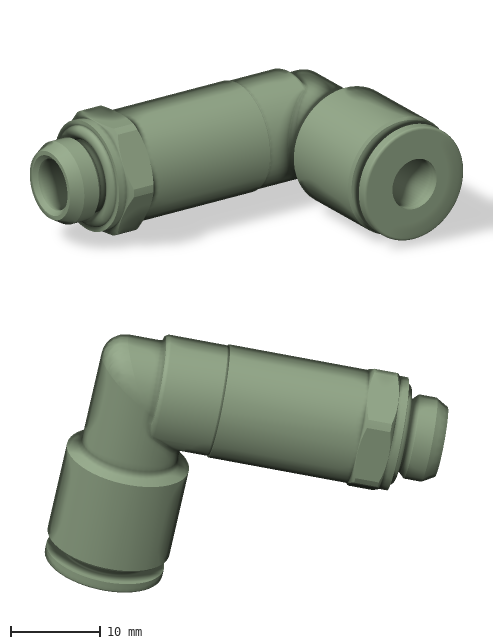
import cadquery as cq
import math


elbow_radius = 5.5
corner_radius = 2.5
corner_sections = 9

arm_radius = 7.0
arm_shoulder_end = 8.95
shoulder_slope = math.radians(60)
shoulder_fillet = 0.5
arm_end = 20.0
arm_chamfer = 0.3
seat_radius = 5.4
seat_end = 20.2
release_neck_radius = 4.7
neck_fillet = 0.2
flange_start = 21.5
flange_end = 22.7
flange_radius = 6.75
flange_fillet = 0.3

collar_radius = 6.3
collar_top = 1.29
collar_crown_width = 0.25
collar_crown_height = 0.55
collar_fillet = 0.52
collar_groove_start = 8.25
collar_end = 8.5
groove_radius = 6.15
tube_radius = 6.45
tube_end = 29.0
hex_across_flats = 13.0
hex_corner_radius = 7.25
hex_start = 24.4
hex_end = 28.0
hex_chamfer_angle = math.radians(30)

seal_radius = 5.9
seal_end = 29.63
neck_radius = 4.2
neck_end = 30.0
spigot_radius = 4.8
spigot_start = 30.6
spigot_chamfer_start = 32.6
spigot_tip_radius = 4.0
stem_end = 34.0

bore_radius = 3.0
bore_chamfer = 0.5

smallest_face_area = 0.001
tolerance = 0.01


def stem_point(radius, distance):
    """Point of a stem profile: radius from the Y axis, distance from the arm axis."""
    return (radius, -distance)


def revolve_about_y(profile):
    return profile.close().revolve(360, (0, 0, 0), (0, 1, 0))


def revolve_about_x(profile):
    return profile.close().revolve(360, (0, 0, 0), (1, 0, 0))


def mitred_pipe(radius, arm_length, stem_length):
    """Two equal cylinders along +X and -Y that meet in a sharp 45 degree mitre."""
    arm = cq.Workplane("YZ", origin=(-radius, 0, 0)).circle(radius).extrude(radius + arm_length)
    stem = cq.Workplane("XZ", origin=(0, radius, 0)).circle(radius).extrude(radius + stem_length)
    reach = 2 * (radius + max(arm_length, stem_length))
    arm_side = (
        cq.Workplane("XY", origin=(0, 0, -radius))
        .polyline([(-reach, reach), (reach, reach), (reach, -reach)])
        .close()
        .extrude(2 * radius)
    )
    return arm.intersect(arm_side).union(stem.cut(arm_side))


def corner_reach(angle):
    """Distance from the Z axis to the rounded corner outline, at an angle from the Y axis."""
    offset = elbow_radius - corner_radius
    centre_distance = offset * math.sqrt(2)
    swing = angle - math.pi / 4
    return centre_distance * math.cos(swing) + math.sqrt(
        corner_radius**2 - (centre_distance * math.sin(swing)) ** 2
    )


def rounded_corner():
    """Outer wedge of the elbow, lofted through half ellipses that share the Z axis."""
    first = math.atan2(elbow_radius - corner_radius, elbow_radius)
    step = (math.pi / 2 - 2 * first) / (corner_sections - 1)
    wires = []
    for index in range(corner_sections):
        angle = first + index * step
        plane = cq.Plane(
            origin=(0, 0, 0),
            xDir=(-math.sin(angle), math.cos(angle), 0),
            normal=(math.cos(angle), math.sin(angle), 0),
        )
        section = (
            cq.Workplane(plane)
            .moveTo(0, -elbow_radius)
            .ellipseArc(corner_reach(angle), elbow_radius, -90, 90, startAtCurrent=True)
            .close()
        )
        wires.append(section.wires().val())
    loft = cq.Solid.makeLoft(wires)
    faces = [face for face in loft.Faces() if face.Area() > smallest_face_area]
    return cq.Workplane(cq.Solid.makeSolid(cq.Shell.makeShell(faces)))


def elbow():
    """Mitred elbow with its sharp outer corner replaced by the rounded wedge."""
    pipe = mitred_pipe(elbow_radius, arm_shoulder_end, collar_end)
    corner_start = elbow_radius - corner_radius
    sharp_corner = (
        cq.Workplane("XY", origin=(0, 0, -2 * elbow_radius))
        .polyline(
            [
                (0, 0),
                (-elbow_radius, corner_start),
                (-elbow_radius, elbow_radius),
                (-corner_start, elbow_radius),
            ]
        )
        .close()
        .extrude(4 * elbow_radius)
    )
    return pipe.cut(sharp_corner).union(rounded_corner())


def push_in_arm():
    """Sloped shoulder, round housing, seat ring and flanged release sleeve along +X."""
    run = (arm_radius - elbow_radius) / math.tan(shoulder_slope)
    foot = arm_shoulder_end - run
    tangent = shoulder_fillet * math.tan(shoulder_slope / 2)
    fillet_end = (
        foot + tangent * math.cos(shoulder_slope),
        elbow_radius + tangent * math.sin(shoulder_slope),
    )
    fillet_middle = (
        foot - tangent + shoulder_fillet * math.sin(shoulder_slope / 2),
        elbow_radius + shoulder_fillet * (1 - math.cos(shoulder_slope / 2)),
    )
    profile = (
        cq.Workplane("XY")
        .moveTo(foot - tangent, 0)
        .lineTo(foot - tangent, elbow_radius)
        .threePointArc(fillet_middle, fillet_end)
        .lineTo(arm_shoulder_end, arm_radius)
        .lineTo(arm_end - arm_chamfer, arm_radius)
        .lineTo(arm_end, arm_radius - arm_chamfer)
        .lineTo(arm_end, seat_radius)
        .lineTo(seat_end, seat_radius)
        .lineTo(seat_end, release_neck_radius)
        .lineTo(flange_start - neck_fillet, release_neck_radius)
        .radiusArc((flange_start, release_neck_radius + neck_fillet), -neck_fillet)
        .lineTo(flange_start, flange_radius)
        .lineTo(flange_end - flange_fillet, flange_radius)
        .radiusArc((flange_end, flange_radius - flange_fillet), flange_fillet)
        .lineTo(flange_end, 0)
    )
    return revolve_about_x(profile)


def stem():
    """Collar, tube and plain spigot, turned about the Y axis."""
    crown_radius = (collar_crown_width**2 + collar_crown_height**2) / (2 * collar_crown_width)
    profile = (
        cq.Workplane("XY")
        .moveTo(*stem_point(0, collar_top))
        .lineTo(*stem_point(collar_radius - collar_crown_width, collar_top))
        .radiusArc(stem_point(collar_radius, collar_top + collar_crown_height), crown_radius)
        .lineTo(*stem_point(collar_radius, collar_groove_start))
        .lineTo(*stem_point(groove_radius, collar_end))
        .lineTo(*stem_point(tube_radius, collar_end))
        .lineTo(*stem_point(tube_radius, tube_end))
        .lineTo(*stem_point(neck_radius, tube_end))
        .lineTo(*stem_point(neck_radius, neck_end))
        .lineTo(*stem_point(spigot_radius, spigot_start))
        .lineTo(*stem_point(spigot_radius, spigot_chamfer_start))
        .lineTo(*stem_point(spigot_tip_radius, stem_end))
        .lineTo(*stem_point(0, stem_end))
    )
    return revolve_about_y(profile)


def is_collar_junction(edge):
    """True for an edge where the collar meets the outside of the elbow pipe."""
    middle = edge.positionAt(0.5)
    from_arm_axis = math.hypot(middle.y, middle.z)
    from_stem_axis = math.hypot(middle.x, middle.z)
    on_pipe = min(abs(from_arm_axis - elbow_radius), abs(from_stem_axis - elbow_radius)) < tolerance
    on_collar = (
        -elbow_radius < middle.y < tolerance - collar_top
        and elbow_radius - tolerance < from_stem_axis < collar_radius + tolerance
    )
    return on_pipe and on_collar


def elbow_with_stem():
    """Elbow and stem joined, with a fillet where the elbow grows out of the collar."""
    body = elbow().union(stem())
    junction = [edge for edge in body.edges().vals() if is_collar_junction(edge)]
    return body.newObject(junction).fillet(collar_fillet)


def seal_ring():
    """Round-section ring seated on the neck against the end of the tube."""
    section_radius = (seal_radius - neck_radius) / 2
    major_radius = neck_radius + section_radius
    centre = stem_point(0, seal_end - section_radius)
    return cq.Workplane(
        cq.Solid.makeTorus(major_radius, section_radius, cq.Vector(*centre), cq.Vector(0, 1, 0))
    )


def hex_nut():
    """Hexagon with flats facing +Z and -Z, rounded corners and conical end chamfers."""
    across_corners = hex_across_flats / math.cos(math.pi / 6)
    hexagon = (
        cq.Workplane("XZ", origin=(0, -hex_start, 0))
        .polygon(6, across_corners)
        .extrude(hex_end - hex_start)
    )
    chamfer_length = (hex_corner_radius - tube_radius) * math.tan(hex_chamfer_angle)
    envelope = (
        cq.Workplane("XY")
        .moveTo(*stem_point(0, hex_start))
        .lineTo(*stem_point(tube_radius, hex_start))
        .lineTo(*stem_point(hex_corner_radius, hex_start + chamfer_length))
        .lineTo(*stem_point(hex_corner_radius, hex_end - chamfer_length))
        .lineTo(*stem_point(tube_radius, hex_end))
        .lineTo(*stem_point(0, hex_end))
    )
    return hexagon.intersect(revolve_about_y(envelope))


def passage():
    """Mitred through bore with a chamfered mouth at the spigot tip."""
    mouth = (
        cq.Workplane("XY")
        .moveTo(*stem_point(0, stem_end - bore_chamfer))
        .lineTo(*stem_point(bore_radius, stem_end - bore_chamfer))
        .lineTo(*stem_point(bore_radius + bore_chamfer, stem_end))
        .lineTo(*stem_point(0, stem_end))
    )
    return mitred_pipe(bore_radius, flange_end, stem_end).union(revolve_about_y(mouth))


result = (
    elbow_with_stem()
    .union(push_in_arm())
    .union(seal_ring())
    .union(hex_nut())
    .cut(passage())
)